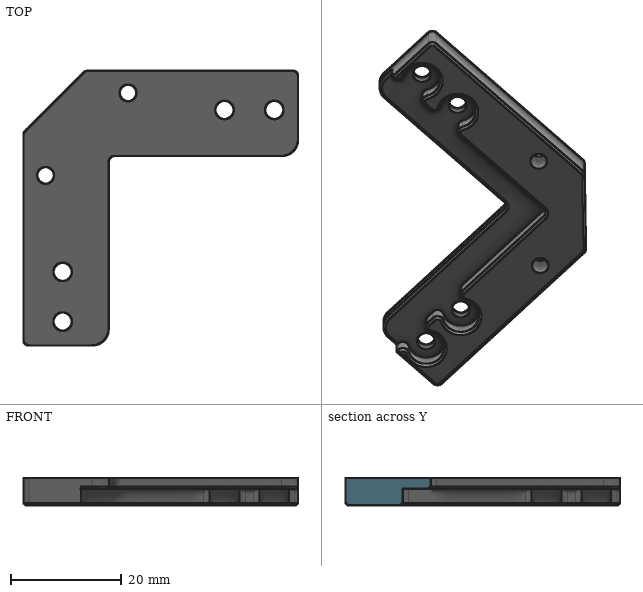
import cadquery as cq
import math

leg_length = 49.85
height = 5.0
plate_thickness = 2.0
plate_width = 15.5
body_width = 10.4
corner_cut = 11.25
edge_chamfer = 0.45

small_radius = 1.0
tip_radius = 3.05

pin_hole_diameter = 3.0
pin_hole_along = 19.0
pin_hole_inset = 4.05
screw_hole_diameter = 3.3
screw_holes_along = (36.5, 45.5)
screw_hole_inset = 7.15
head_pocket_diameter = 6.6
mouth_radius = 1.1

body_height = height - plate_thickness


def on_both_legs(along, inset):
    """Matching points on the X leg and the Y leg."""
    return [(along, -inset), (inset, -along)]


def l_profile(width, bottom, thickness):
    """Extruded L with a cut outer corner and rounded outer and inner corners."""
    profile = (
        cq.Workplane("XY", origin=(0, 0, bottom))
        .moveTo(corner_cut, 0)
        .lineTo(leg_length, 0)
        .lineTo(leg_length, -width)
        .lineTo(width, -width)
        .lineTo(width, -leg_length)
        .lineTo(0, -leg_length)
        .lineTo(0, -corner_cut)
        .close()
        .extrude(thickness)
    )
    rounded = [(corner_cut, 0), (0, -corner_cut), (leg_length, 0), (0, -leg_length), (width, -width)]
    return round_corners(profile, rounded, small_radius)


def round_corners(solid, points, radius):
    """Fillet the vertical edges that stand at the given XY points."""
    middle = solid.val().BoundingBox().center.z
    for x, y in points:
        edge = cq.selectors.NearestToPointSelector((x, y, middle))
        solid = solid.edges("|Z").edges(edge).fillet(radius)
    return solid


def make_plate():
    plate = l_profile(plate_width, body_height, plate_thickness)
    plate = round_corners(plate, on_both_legs(leg_length, plate_width), tip_radius)
    return plate.faces("<Z").chamfer(edge_chamfer)


def make_pocket(along):
    """Screw head pocket on the X leg, flaring smoothly out through the inner side."""
    pocket_radius = head_pocket_diameter / 2
    wall_distance = body_width - screw_hole_inset
    center_distance = pocket_radius + mouth_radius
    flare_angle = math.acos((wall_distance - mouth_radius) / center_distance)
    half_mouth = center_distance * math.sin(flare_angle)
    tangent_x = pocket_radius * math.sin(flare_angle)
    tangent_y = -pocket_radius * math.cos(flare_angle)
    middle_x = half_mouth - mouth_radius * math.sin(flare_angle / 2)
    middle_y = mouth_radius - wall_distance - mouth_radius * math.cos(flare_angle / 2)
    return (
        cq.Workplane("XY", origin=(along, -screw_hole_inset, 0))
        .moveTo(half_mouth, -wall_distance)
        .threePointArc((middle_x, middle_y), (tangent_x, tangent_y))
        .threePointArc((0, pocket_radius), (-tangent_x, tangent_y))
        .threePointArc((-middle_x, middle_y), (-half_mouth, -wall_distance))
        .close()
        .extrude(body_height)
    )


def make_body():
    """Narrower L under the plate, open on its inner side around each screw head."""
    body = l_profile(body_width, 0, height)
    for along in screw_holes_along:
        pocket = make_pocket(along)
        body = body.cut(pocket).cut(pocket.mirror(cq.Vector(1, 1, 0)))
    return body.faces("<Z").chamfer(edge_chamfer)


def make_holes(positions, diameter):
    return cq.Workplane("XY").pushPoints(positions).circle(diameter / 2).extrude(height)


result = make_plate().union(make_body())
result = result.cut(make_holes(on_both_legs(pin_hole_along, pin_hole_inset), pin_hole_diameter))
for along in screw_holes_along:
    result = result.cut(make_holes(on_both_legs(along, screw_hole_inset), screw_hole_diameter))